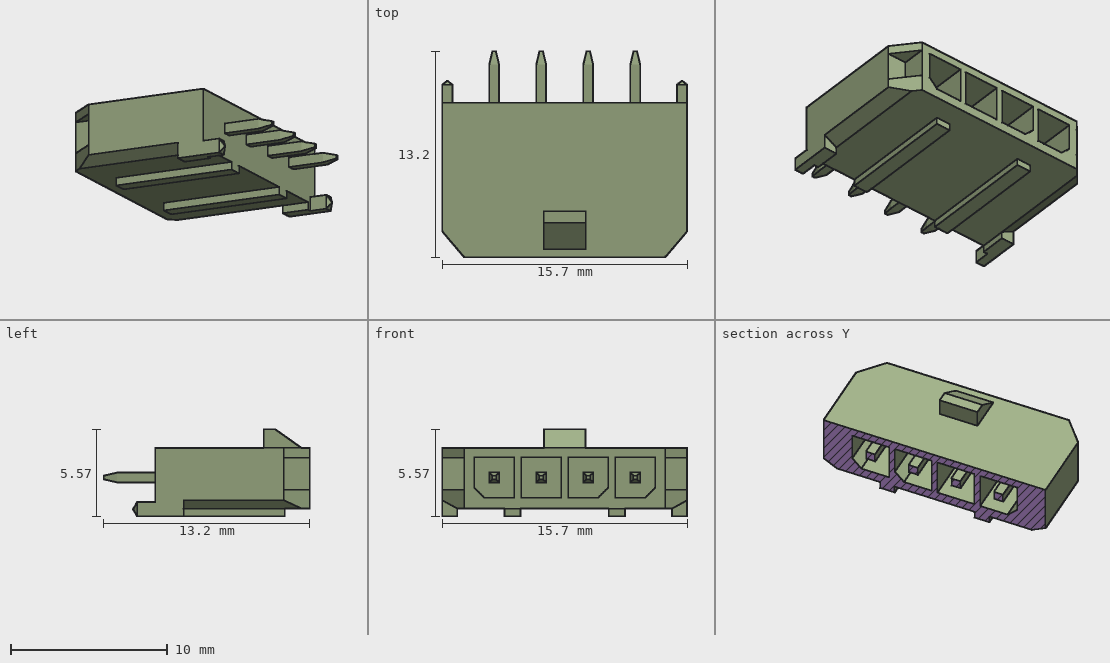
import cadquery as cq


width = 15.65
length = 9.89
height = 3.88
corner_cut_x = 1.41
corner_cut_y = 1.66
side_chamfer_height = 0.53
half_width = width / 2

notch_bottom = 1.19
notch_top = 3.24

terminal_pitch = 3.0
terminal_z = 1.99
cavity_size = 2.57
cavity_depth = 6.89
cavity_chamfer = 0.64
key_sides = [-1, 0, 1, 1]
pin_size = 0.64
pin_tip_size = 0.23
pin_taper = 0.86
pin_recess = 2.5
pin_overhang = 3.29

latch_width = 2.66
latch_height = 1.19
latch_front = 0.53
latch_crest = 2.2
latch_back = 2.96

standoff_height = 0.5
foot_width = 0.97
foot_front = 8.06
rail_width = 1.05
rail_offset = 3.33
rail_front = 1.6

post_width = 0.65
post_height = 0.92
post_overhang = 1.15
post_point = 0.27


def block(x_min, x_max, y_min, y_max, z_min, z_max):
    """Axis-aligned box between the given limits."""
    size = (x_max - x_min, y_max - y_min, z_max - z_min)
    return cq.Workplane("XY").box(*size, centered=False).translate((x_min, y_min, z_min))


def extrude_along_y(points, y_min, y_max):
    """Prism with an (x, z) outline running from y_min to y_max."""
    plane = cq.Workplane("XZ", origin=(0, y_min, 0))
    return plane.polyline(points).close().extrude(y_min - y_max)


def housing():
    """Body with cut front corners, corner notches and chamfered lower side edges."""
    outline = [
        (-half_width, length),
        (-half_width, corner_cut_y),
        (-half_width + corner_cut_x, 0),
        (half_width - corner_cut_x, 0),
        (half_width, corner_cut_y),
        (half_width, length),
    ]
    body = cq.Workplane("XY").polyline(outline).close().extrude(height)
    for side in (-1, 1):
        outer_x = side * half_width
        notch_x = sorted([outer_x, outer_x - side * corner_cut_x])
        body = body.cut(block(*notch_x, 0, corner_cut_y, notch_bottom, notch_top))
        chamfer_outline = [
            (outer_x, 0),
            (outer_x, side_chamfer_height),
            (outer_x - side * foot_width, 0),
        ]
        body = body.cut(extrude_along_y(chamfer_outline, 0, foot_front))
    return body


def cavity(x, key_side):
    """Square terminal cavity; key_side -1 or 1 chamfers that lower corner, 0 leaves it square."""
    plane = cq.Workplane("XZ", origin=(x, 0, terminal_z))
    pocket = plane.rect(cavity_size, cavity_size).extrude(-cavity_depth)
    if key_side:
        side_face = pocket.faces(">X" if key_side > 0 else "<X")
        pocket = side_face.edges("<Z").chamfer(cavity_chamfer)
    return pocket


def taper(start, base_size, tip_size, reach):
    """Square taper along Y from base_size at start to tip_size at a signed reach."""
    base = cq.Workplane("XZ", origin=start).rect(base_size, base_size)
    return base.workplane(offset=-reach).rect(tip_size, tip_size).loft(ruled=True)


def pin(x):
    """Square terminal pin tapered at both ends."""
    shank_front = pin_recess + pin_taper
    shank_back = length + pin_overhang - pin_taper
    half = pin_size / 2
    shank = block(x - half, x + half, shank_front, shank_back, terminal_z - half, terminal_z + half)
    front_tip = taper((x, shank_front, terminal_z), pin_size, pin_tip_size, -pin_taper)
    back_tip = taper((x, shank_back, terminal_z), pin_size, pin_tip_size, pin_taper)
    return shank.union(front_tip).union(back_tip)


def latch():
    """Ramp that rises from the mating end to a flat crest."""
    profile = [
        (latch_front, height),
        (latch_crest, height + latch_height),
        (latch_back, height + latch_height),
        (latch_back, height),
    ]
    plane = cq.Workplane("YZ")
    return plane.polyline(profile).close().extrude(latch_width / 2, both=True)


def post(side):
    """Rear locating post: a bar intersected with two wedges that meet in a point."""
    inner_x = side * (half_width - post_width)
    outer_x = side * half_width
    center_x = (inner_x + outer_x) / 2
    bottom = -standoff_height
    top = bottom + post_height
    shoulder = length + post_overhang
    tip = shoulder + post_point
    plan = [
        (inner_x, foot_front),
        (inner_x, shoulder),
        (center_x, tip),
        (outer_x, shoulder),
        (outer_x, foot_front),
    ]
    profile = [
        (foot_front, bottom),
        (shoulder, bottom),
        (tip, (bottom + top) / 2),
        (shoulder, top),
        (foot_front, top),
    ]
    plan_prism = cq.Workplane("XY", origin=(0, 0, bottom)).polyline(plan).close().extrude(post_height)
    profile_prism = cq.Workplane("YZ").polyline(profile).close().extrude(outer_x)
    return plan_prism.intersect(profile_prism)


def standoffs(side):
    """Rear corner foot and long rail on one side of the underside."""
    foot_x = sorted([side * half_width, side * (half_width - foot_width)])
    foot = block(*foot_x, foot_front, length, -standoff_height, 0)
    rail_x = side * rail_offset
    rail = block(rail_x - rail_width / 2, rail_x + rail_width / 2, rail_front, length, -standoff_height, 0)
    return foot.union(rail)


connector = housing().union(latch())
for side in (-1, 1):
    connector = connector.union(standoffs(side)).union(post(side))

first_terminal_x = -terminal_pitch * (len(key_sides) - 1) / 2
for index, key_side in enumerate(key_sides):
    terminal_x = first_terminal_x + index * terminal_pitch
    connector = connector.cut(cavity(terminal_x, key_side)).union(pin(terminal_x))

result = connector